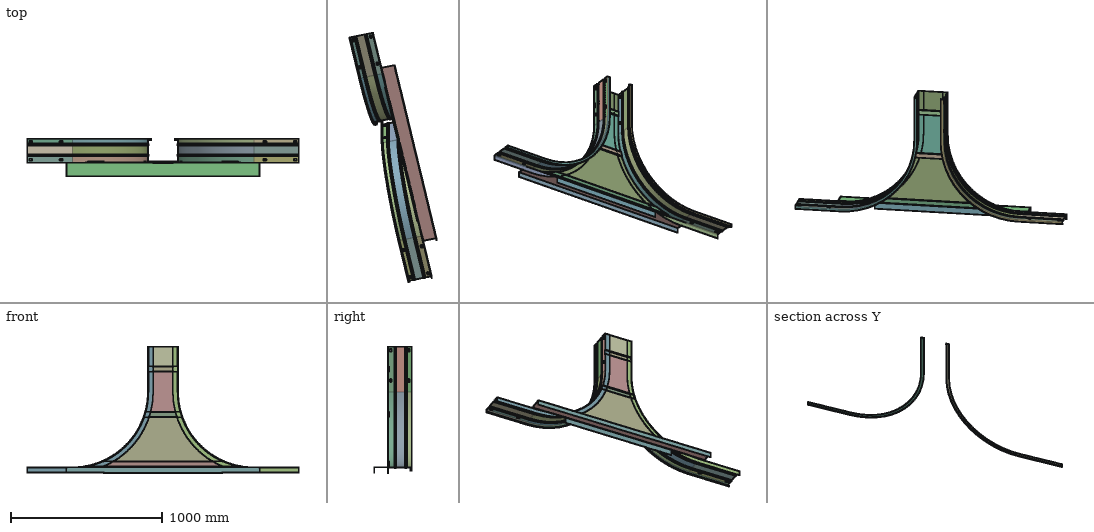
import cadquery as cq
import math

total_length = 1800.0
total_height = 840.0
sheet = 1.2
bend_radius = 4.0

stem_width = 200.0
rail_depth = 160.0
straight_length = 300.0
bend_path_radius = 500.0
front_flange = 35.0
back_flange = 21.0
back_return = 10.0
bead_positions = (50.0, 120.0)
bead_depth = 5.0
bead_outer_width = 15.0
bead_floor_width = 5.0

slot_length = 18.0
slot_width = 11.0
slot_edge_distance = 20.0
slot_end_distances = (25.0, 225.0)

rib_heights = (63.0, 390.5, 691.0)
rib_depth = 7.0
rib_outer_width = 34.0
rib_floor_width = 29.0
tab_half_width = 394.0
tab_height = 44.0

ledge_length = 1280.0
ledge_depth = 90.0
ledge_bottom = 5.0
ledge_top = 42.0

web_x = stem_width / 2
arc_x = web_x + bend_path_radius
arc_z = total_height - straight_length
web_z = arc_z - bend_path_radius

position_tolerance = 1e-6


def sheet_outline(points):
    """Closed outline of a sheet whose outer face runs through points, thickened to the left."""
    normals = []
    for (x0, y0), (x1, y1) in zip(points, points[1:]):
        length = math.hypot(x1 - x0, y1 - y0)
        normals.append(((y0 - y1) / length, (x1 - x0) / length))
    starts = [normals[0]] + normals
    ends = normals + [normals[-1]]
    inner = []
    for (x, y), (ax, ay), (bx, by) in zip(points, starts, ends):
        mitre = sheet / (1 + ax * bx + ay * by)
        inner.append((x + mitre * (ax + bx), y + mitre * (ay + by)))
    return points + inner[::-1]


def rail_profile():
    """Cross-section of the right rail at the foot of its upright straight."""
    points = [(web_x - front_flange, 0), (web_x, 0)]
    for y in bead_positions:
        points += [
            (web_x, y - bead_outer_width / 2),
            (web_x - bead_depth, y - bead_floor_width / 2),
            (web_x - bead_depth, y + bead_floor_width / 2),
            (web_x, y + bead_outer_width / 2),
        ]
    back_x = web_x - back_flange
    points += [(web_x, rail_depth), (back_x, rail_depth), (back_x, rail_depth - back_return)]
    wire = cq.Workplane("XY", origin=(0, 0, arc_z)).polyline(sheet_outline(points)).close().val()
    face = cq.Face.makeFromWires(wire)

    def corners(x, corner_ys):
        """Vertices at the given places along the web."""
        return [
            v for v in face.Vertices()
            if abs(v.X - x) < position_tolerance
            and any(abs(v.Y - y) < position_tolerance for y in corner_ys)
        ]

    face = face.fillet2D(bend_radius, corners(web_x, (0, rail_depth)))
    return face.fillet2D(bend_radius - sheet, corners(web_x - sheet, (sheet, rail_depth - sheet)))


def right_rail():
    """Upright straight, quarter curve and horizontal arm, with slots near both ends."""
    profile = rail_profile()
    upright = cq.Workplane(cq.Solid.extrudeLinear(profile, cq.Vector(0, 0, straight_length)))
    axis_start = cq.Vector(arc_x, 0, arc_z)
    axis_end = cq.Vector(arc_x, -1, arc_z)
    curve = cq.Workplane(cq.Solid.revolve(profile, 90, axis_start, axis_end))
    arm_profile = profile.rotate(axis_start, axis_end, 90)
    arm = cq.Workplane(cq.Solid.extrudeLinear(arm_profile, cq.Vector(straight_length, 0, 0)))
    rail = upright.union(curve).union(arm)

    slot_ys = (slot_edge_distance, rail_depth - slot_edge_distance)
    cutter_depth = 4 * sheet
    upright_spots = [(y, total_height - d) for d in slot_end_distances for y in slot_ys]
    arm_spots = [(total_length / 2 - d, y) for d in slot_end_distances for y in slot_ys]
    upright_slots = (
        cq.Workplane("YZ", origin=(web_x - cutter_depth / 2, 0, 0))
        .pushPoints(upright_spots).slot2D(slot_length, slot_width, 90).extrude(cutter_depth)
    )
    arm_slots = (
        cq.Workplane("XY", origin=(0, 0, web_z - cutter_depth / 2))
        .pushPoints(arm_spots).slot2D(slot_length, slot_width).extrude(cutter_depth)
    )
    return rail.cut(upright_slots).cut(arm_slots)


def ribbed_plate():
    """Plate behind the front flanges, with horizontal ribs pressed inwards."""
    points = [(sheet, total_height)]
    for z in reversed(rib_heights):
        points += [
            (sheet, z + rib_outer_width / 2),
            (sheet + rib_depth, z + rib_floor_width / 2),
            (sheet + rib_depth, z - rib_floor_width / 2),
            (sheet, z - rib_outer_width / 2),
        ]
    points.append((sheet, 0))
    blank = (
        cq.Workplane("YZ").polyline(sheet_outline(points)).close()
        .extrude(arc_x, both=True)
    )
    edge_x = web_x - bend_radius
    edge_radius = bend_path_radius + bend_radius
    rise = arc_z - tab_height
    shoulder_x = arc_x - math.sqrt(edge_radius**2 - rise**2)
    half = math.asin(rise / edge_radius) / 2
    arc_mid = (arc_x - edge_radius * math.cos(half), arc_z - edge_radius * math.sin(half))
    outline = (
        cq.Workplane("XZ")
        .moveTo(0, 0).lineTo(tab_half_width, 0).lineTo(tab_half_width, tab_height)
        .lineTo(shoulder_x, tab_height).threePointArc(arc_mid, (edge_x, arc_z))
        .lineTo(edge_x, total_height).lineTo(0, total_height).close()
        .extrude(-rail_depth)
    )
    return blank.intersect(outline.union(outline.mirror("YZ")))


def ledge():
    """Horizontal shelf in front of the rails with its front edge turned down."""
    points = [(0, ledge_top), (-ledge_depth, ledge_top), (-ledge_depth, ledge_bottom)]
    return (
        cq.Workplane("YZ").polyline(sheet_outline(points)).close()
        .extrude(ledge_length / 2, both=True)
    )


rail = right_rail()
rails = [rail, rail.mirror("YZ")]
result = cq.Compound.makeCompound([*(r.val() for r in rails), ribbed_plate().val(), ledge().val()])